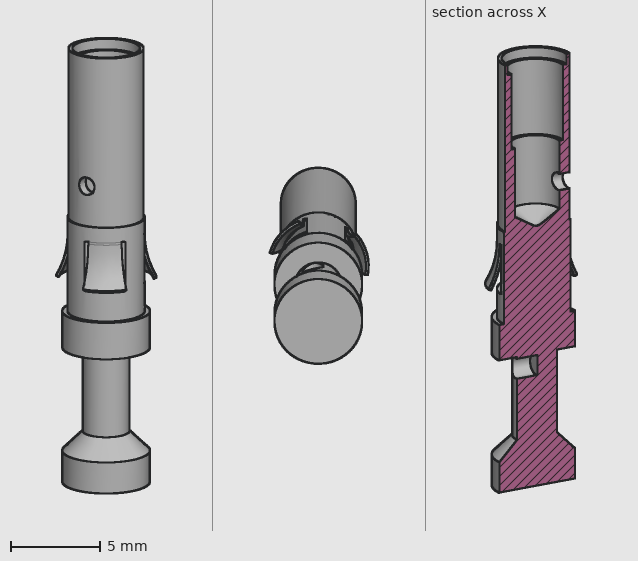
import cadquery as cq
import math

head_top_z = 1.81
cone_top_z = 2.95
collar_bottom_z = 7.8
collar_top_z = 9.93
sleeve_top_z = 15.37
total_length = 25.2

flange_diameter = 4.91
stem_diameter = 2.62
sleeve_diameter = 4.33
barrel_diameter = 4.2
flange_radius = flange_diameter / 2
stem_radius = stem_diameter / 2
sleeve_radius = sleeve_diameter / 2
barrel_radius = barrel_diameter / 2

mouth_radius = 1.9
mouth_depth = 0.6
upper_bore_radius = 1.66
upper_bore_depth = 5.05
lower_bore_radius = 1.44
lower_bore_depth = 9.07
drill_point_angle = 118.0

barrel_hole_radius = 0.5
barrel_hole_z = 17.7
stem_hole_radius = 0.6
stem_hole_z = 7.13

tab_angles = (56, 180, 300)
window_bottom_z = 11.6
window_top_z = 14.5
window_width = 2.37
window_floor_radius = 1.85
window_corner_radius = 0.15
tab_bend_z = 14.36
tab_tip_z = 11.9
tab_tip_radius = 2.82
tab_thickness = 0.18
tab_span = 51.0


def revolve_about_axis(points):
    return cq.Workplane("XZ").polyline(points).close().revolve(360, (0, 0, 0), (0, 1, 0))


def contact_body():
    return revolve_about_axis([
        (0, 0),
        (flange_radius, 0),
        (flange_radius, head_top_z),
        (stem_radius, cone_top_z),
        (stem_radius, collar_bottom_z),
        (flange_radius, collar_bottom_z),
        (flange_radius, collar_top_z),
        (sleeve_radius, collar_top_z),
        (sleeve_radius, sleeve_top_z),
        (barrel_radius, sleeve_top_z),
        (barrel_radius, total_length),
        (0, total_length),
    ])


def stepped_bore():
    mouth_z = total_length - mouth_depth
    upper_z = total_length - upper_bore_depth
    lower_z = total_length - lower_bore_depth
    point_z = lower_z - lower_bore_radius / math.tan(math.radians(drill_point_angle / 2))
    return revolve_about_axis([
        (0, total_length),
        (mouth_radius, total_length),
        (mouth_radius, mouth_z),
        (upper_bore_radius, mouth_z),
        (upper_bore_radius, upper_z),
        (lower_bore_radius, upper_z),
        (lower_bore_radius, lower_z),
        (0, point_z),
    ])


def radial_hole(radius, height, direction):
    """Drill from the axis outwards; direction is +1 for +Y and -1 for -Y."""
    return cq.Workplane(cq.Solid.makeCylinder(
        radius, flange_radius, cq.Vector(0, 0, height), cq.Vector(0, direction, 0)))


def window():
    """Pocket through the sleeve wall on the +X side."""
    height = window_top_z - window_bottom_z
    return (
        cq.Workplane("YZ", origin=(window_floor_radius, 0, window_bottom_z + height / 2))
        .rect(window_width, height)
        .extrude(sleeve_radius)
        .edges("|X")
        .fillet(window_corner_radius)
        .cut(cq.Workplane("XY").circle(window_floor_radius).extrude(total_length))
    )


def spring_tab():
    """Flared sector on the +X side: leaves the sleeve tangentially and curves outwards."""
    rise = tab_tip_radius - sleeve_radius
    drop = tab_bend_z - tab_tip_z
    bend_radius = (rise**2 + drop**2) / (2 * rise)
    bend_angle = math.asin(drop / bend_radius)
    centre_radius = sleeve_radius + bend_radius

    def bend_point(radius, angle):
        return (centre_radius - radius * math.cos(angle), tab_bend_z - radius * math.sin(angle))

    inner_bend_radius = bend_radius + tab_thickness
    root_inner_radius = sleeve_radius - tab_thickness
    return (
        cq.Workplane("XZ")
        .moveTo(root_inner_radius, window_top_z)
        .lineTo(sleeve_radius, window_top_z)
        .lineTo(sleeve_radius, tab_bend_z)
        .threePointArc(bend_point(bend_radius, bend_angle / 2), bend_point(bend_radius, bend_angle))
        .lineTo(*bend_point(inner_bend_radius, bend_angle))
        .threePointArc(bend_point(inner_bend_radius, bend_angle / 2), (root_inner_radius, tab_bend_z))
        .close()
        .revolve(tab_span, (0, 0, 0), (0, 1, 0))
        .rotate((0, 0, 0), (0, 0, 1), -tab_span / 2)
    )


result = (
    contact_body()
    .cut(stepped_bore())
    .cut(radial_hole(barrel_hole_radius, barrel_hole_z, -1))
    .cut(radial_hole(stem_hole_radius, stem_hole_z, 1))
)
for tab_angle in tab_angles:
    result = result.cut(window().rotate((0, 0, 0), (0, 0, 1), tab_angle))
    result = result.union(spring_tab().rotate((0, 0, 0), (0, 0, 1), tab_angle), clean=False)